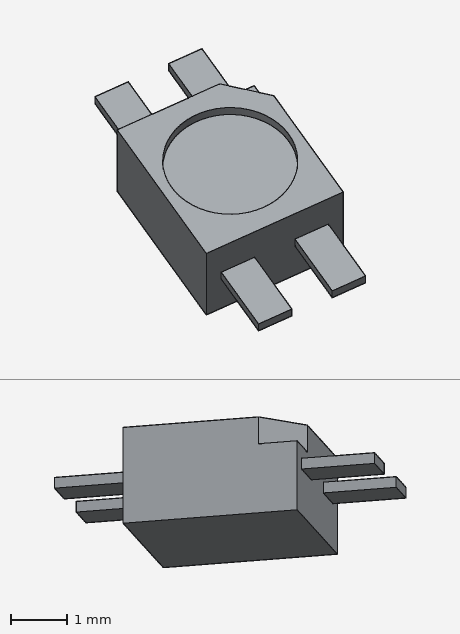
import cadquery as cq

housing_length = 3.2
housing_width = 2.8
housing_height = 1.78

recess_diameter = 2.4
recess_depth = 0.2

notch_leg = 0.705
notch_depth = 0.5

overall_length = 5.88
lead_length = (overall_length - housing_length) / 2
lead_width = 0.68
lead_thickness = 0.2
lead_pitch = 1.505
lead_bottom = 0.845


def make_housing():
    """Block with a round top recess and one bevelled upper corner."""
    block = cq.Workplane("XY").box(
        housing_length, housing_width, housing_height, centered=(True, True, False)
    )
    recess = (
        cq.Workplane("XY", origin=(0, 0, housing_height - recess_depth))
        .circle(recess_diameter / 2)
        .extrude(recess_depth)
    )
    corner_x = -housing_length / 2
    corner_y = housing_width / 2
    notch = (
        cq.Workplane("XY", origin=(corner_x, corner_y, housing_height - notch_depth))
        .polyline([(0, 0), (notch_leg, 0), (0, -notch_leg)])
        .close()
        .extrude(notch_depth)
    )
    return block.cut(recess).cut(notch)


def make_lead(x_side, y_side):
    """Flat lead that butts against one end face of the housing."""
    center_x = x_side * (housing_length + lead_length) / 2
    center_y = y_side * lead_pitch / 2
    return cq.Workplane("XY", origin=(center_x, center_y, lead_bottom)).box(
        lead_length, lead_width, lead_thickness, centered=(True, True, False)
    )


housing = make_housing()
leads = [make_lead(x_side, y_side) for x_side in (-1, 1) for y_side in (-1, 1)]

result = cq.Compound.makeCompound([housing.val(), *[lead.val() for lead in leads]])